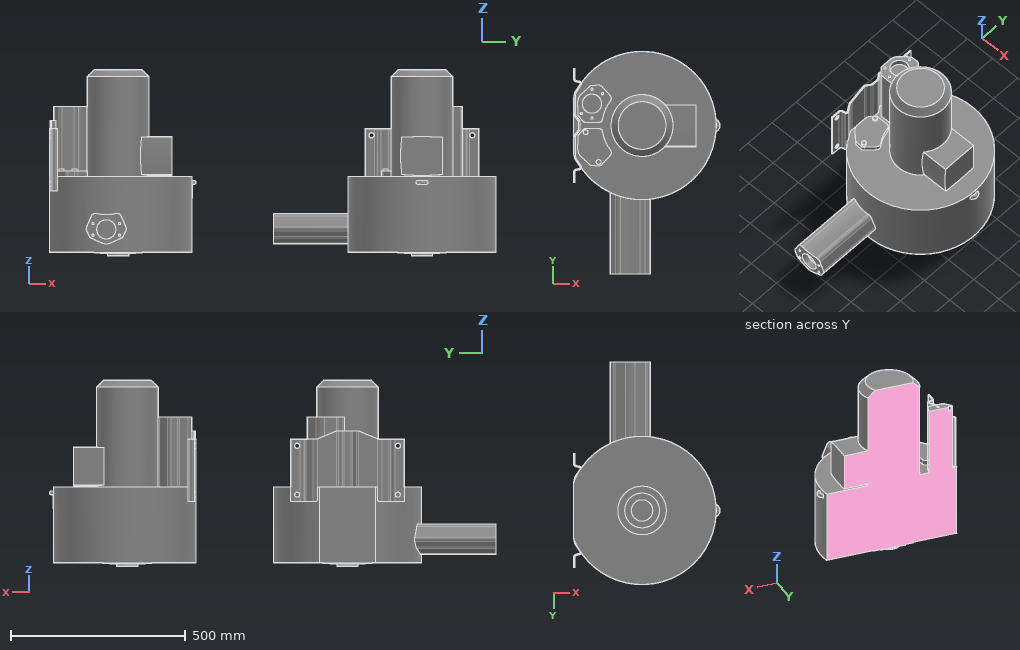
import cadquery as cq

HOUSING_RADIUS = 212.5
HOUSING_HEIGHT = 218.0
FLAT_X = -196.5

COVER_STEPS = [(69.5, 2.0), (50.0, 4.0), (30.5, 10.0)]

MOTOR_RADIUS = 89.0
MOTOR_TOP = 523.5
MOTOR_CHAMFER = 20.5

BOX_REACH = 155.0
BOX_HALF_WIDTH = 58.0
BOX_BOTTOM = 223.0
BOX_TOP = 330.0
BOX_SIDE_BULGE = 3.0
BOX_TOP_BULGE = 1.0
BOX_BOTTOM_BULGE = 2.5

EYE_TUBE_RADIUS = 6.0
EYE_OUTER_RADIUS = 19.0
EYE_TIP_X = 223.5
EYE_Z = 200.5

SHOULDER = (38.0, 48.5)
CONCAVE_DEPTH = 6.5
SIDE_CORNER = (59.0, 1.0)
LOWER_CORNER = (46.5, -23.5)
APEX_Y = -45.0
CORNER_RADIUS = 13.0
LOWER_CORNER_RADIUS = 8.0
APEX_RADIUS = 32.0

BORE_RADIUS = 27.5
BORE_DEPTH = 20.5
SCREW_HOLE_RADIUS = 3.0
SCREW_HOLE_DEPTH = 13.0
SCREW_HOLE_PITCH_X = 76.0
SCREW_HOLE_PITCH_Y = 33.0

OUTLET_X = -34.0
OUTLET_Z = 66.0
OUTLET_END_Y = HOUSING_RADIUS - 638.5
OUTLET_ROOT_Y = -140.5

INLET_X = -143.5
INLET_Y = 62.5
INLET_TURN = 246.5
INLET_TOP = 418.0
FLANGE_HEIGHT = 15.0
STUD_RADIUS = 7.0
STUD_HEIGHT = 6.5
STUD_CENTERS = [(-161.5, -19.0), (-124.5, -105.0)]

SHEET_THICKNESS = 4.0
FOOT_X = FLAT_X + SHEET_THICKNESS / 2
FOOT_END_Y = 163.0
HALF_BENDS = [
    (FOOT_X, 128.5, 9.0),
    (-172.5, 123.0, 4.5),
    (-193.0, 92.0, 22.0),
    (-193.0, 29.5, 7.5),
    (-180.0, 13.0, 7.5),
]
BRACKET_BOTTOM = 175.5
BRACKET_SHOULDER_Z = 354.5
BRACKET_TOP = 378.0
SHOULDER_HALF_WIDTH = 88.0
TOP_HALF_WIDTH = 31.0
LEG_GAP_HALF_WIDTH = 85.5
LEG_CORNER_RADIUS = 6.0
FOOT_HOLE_RADIUS = 7.0
FOOT_HOLE_Y = 144.0
FOOT_HOLE_Z = [195.5, 335.0]


def make_housing():
    drum = cq.Workplane("XY").circle(HOUSING_RADIUS).extrude(HOUSING_HEIGHT)
    kept = cq.Workplane("XY").box(
        HOUSING_RADIUS - FLAT_X, 2 * HOUSING_RADIUS, HOUSING_HEIGHT, centered=(False, True, False)
    )
    housing = drum.intersect(kept.translate((FLAT_X, 0, 0)))
    for radius, depth in COVER_STEPS:
        housing = housing.union(cq.Workplane("XY").circle(radius).extrude(-depth))
    return housing


def make_motor():
    motor = cq.Workplane("XY").circle(MOTOR_RADIUS).extrude(MOTOR_TOP)
    return motor.faces(">Z").chamfer(MOTOR_CHAMFER)


def make_terminal_box():
    middle_z = (BOX_BOTTOM + BOX_TOP) / 2
    return (
        cq.Workplane("YZ")
        .moveTo(BOX_HALF_WIDTH, BOX_BOTTOM)
        .lineTo(BOX_HALF_WIDTH, BOX_TOP)
        .threePointArc((0, BOX_TOP + BOX_TOP_BULGE), (-BOX_HALF_WIDTH, BOX_TOP))
        .threePointArc((-BOX_HALF_WIDTH - BOX_SIDE_BULGE, middle_z), (-BOX_HALF_WIDTH, BOX_BOTTOM))
        .threePointArc((0, BOX_BOTTOM - BOX_BOTTOM_BULGE), (BOX_HALF_WIDTH, BOX_BOTTOM))
        .close()
        .extrude(BOX_REACH)
    )


def make_lifting_eye():
    ring_radius = EYE_OUTER_RADIUS - EYE_TUBE_RADIUS
    ring = cq.Solid.makeTorus(ring_radius, EYE_TUBE_RADIUS)
    return cq.Workplane(ring).translate((EYE_TIP_X - EYE_OUTER_RADIUS, 0, EYE_Z))


def mirrored_x(point):
    return (-point[0], point[1])


def make_silencer_body(length):
    """Silencer section extruded from Z = 0 up to the given length."""
    apex = (0, APEX_Y)
    section = (
        cq.Sketch()
        .arc(mirrored_x(SHOULDER), (0, SHOULDER[1] - CONCAVE_DEPTH), SHOULDER)
        .segment(SHOULDER, SIDE_CORNER)
        .segment(SIDE_CORNER, LOWER_CORNER)
        .segment(LOWER_CORNER, apex)
        .segment(apex, mirrored_x(LOWER_CORNER))
        .segment(mirrored_x(LOWER_CORNER), mirrored_x(SIDE_CORNER))
        .segment(mirrored_x(SIDE_CORNER), mirrored_x(SHOULDER))
        .assemble()
        .vertices(">>Y[1]")
        .fillet(LOWER_CORNER_RADIUS)
        .reset()
        .vertices(">Y or >X or <X")
        .fillet(CORNER_RADIUS)
        .reset()
        .vertices("<Y")
        .fillet(APEX_RADIUS)
        .reset()
    )
    return cq.Workplane("XY").placeSketch(section).extrude(length)


def make_silencer(length):
    """Silencer body with the bore and four screw holes in its far end."""
    end_face = cq.Workplane("XY", origin=(0, 0, length))
    bore = end_face.circle(BORE_RADIUS).extrude(-BORE_DEPTH)
    screw_holes = (
        end_face.rect(SCREW_HOLE_PITCH_X, SCREW_HOLE_PITCH_Y, forConstruction=True)
        .vertices()
        .circle(SCREW_HOLE_RADIUS)
        .extrude(-SCREW_HOLE_DEPTH)
    )
    return make_silencer_body(length).cut(bore).cut(screw_holes)


def make_outlet():
    silencer = make_silencer(OUTLET_ROOT_Y - OUTLET_END_Y)
    return silencer.rotate((0, 0, 0), (1, 0, 0), 90).translate((OUTLET_X, OUTLET_ROOT_Y, OUTLET_Z))


def stand_at_inlet(silencer):
    turned = silencer.rotate((0, 0, 0), (0, 0, 1), INLET_TURN)
    return turned.translate((INLET_X, INLET_Y, HOUSING_HEIGHT))


def make_inlet():
    return stand_at_inlet(make_silencer(INLET_TOP - HOUSING_HEIGHT))


def make_flange():
    flange = stand_at_inlet(make_silencer_body(FLANGE_HEIGHT)).mirror("XZ")
    studs = (
        cq.Workplane("XY", origin=(0, 0, HOUSING_HEIGHT))
        .pushPoints(STUD_CENTERS)
        .circle(STUD_RADIUS)
        .extrude(FLANGE_HEIGHT + STUD_HEIGHT)
    )
    return flange.union(studs)


def make_center_line():
    """Bracket centre line with rounded bends, at the level of the bracket's lower edge."""
    bends = HALF_BENDS + [(x, -y, radius) for x, y, radius in reversed(HALF_BENDS)]
    corners = [(FOOT_X, FOOT_END_Y)] + [(x, y) for x, y, _ in bends] + [(FOOT_X, -FOOT_END_Y)]
    line = cq.Wire.makePolygon([cq.Vector(x, y, BRACKET_BOTTOM) for x, y in corners])
    for x, y, radius in bends:
        corner = cq.Vertex.makeVertex(x, y, BRACKET_BOTTOM)
        bend = min(line.Vertices(), key=corner.distance)
        line = line.fillet(radius, [bend])
    return line


def make_bent_sheet():
    """Full-height sheet that follows the bracket's centre line."""
    height = BRACKET_TOP - BRACKET_BOTTOM
    return (
        cq.Workplane("XZ", origin=(FOOT_X, FOOT_END_Y, BRACKET_BOTTOM))
        .center(0, height / 2)
        .rect(SHEET_THICKNESS, height)
        .sweep(cq.Workplane(make_center_line()))
    )


def make_bracket():
    sheet = make_bent_sheet()
    depth = HOUSING_RADIUS
    half_outline = [
        (LEG_GAP_HALF_WIDTH, HOUSING_HEIGHT),
        (LEG_GAP_HALF_WIDTH, BRACKET_BOTTOM),
        (FOOT_END_Y, BRACKET_BOTTOM),
        (FOOT_END_Y, BRACKET_SHOULDER_Z),
        (SHOULDER_HALF_WIDTH, BRACKET_SHOULDER_Z),
        (TOP_HALF_WIDTH, BRACKET_TOP),
    ]
    outline = half_outline + [(-y, z) for y, z in reversed(half_outline)]
    front = cq.Workplane("YZ").polyline(outline).close().extrude(-depth)
    legs_inner_edges = cq.selectors.BoxSelector(
        (-depth, -FOOT_END_Y + LEG_CORNER_RADIUS, BRACKET_BOTTOM - LEG_CORNER_RADIUS),
        (0, FOOT_END_Y - LEG_CORNER_RADIUS, BRACKET_BOTTOM + LEG_CORNER_RADIUS),
    )
    front = front.edges("|X").edges(legs_inner_edges).fillet(LEG_CORNER_RADIUS)
    holes = (
        cq.Workplane("YZ")
        .pushPoints([(side * FOOT_HOLE_Y, z) for side in (-1, 1) for z in FOOT_HOLE_Z])
        .circle(FOOT_HOLE_RADIUS)
        .extrude(-depth)
    )
    return sheet.intersect(front).cut(holes)


result = (
    make_housing()
    .union(make_motor())
    .union(make_terminal_box())
    .union(make_lifting_eye())
    .union(make_outlet())
    .union(make_inlet())
    .union(make_flange())
    .union(make_bracket())
)